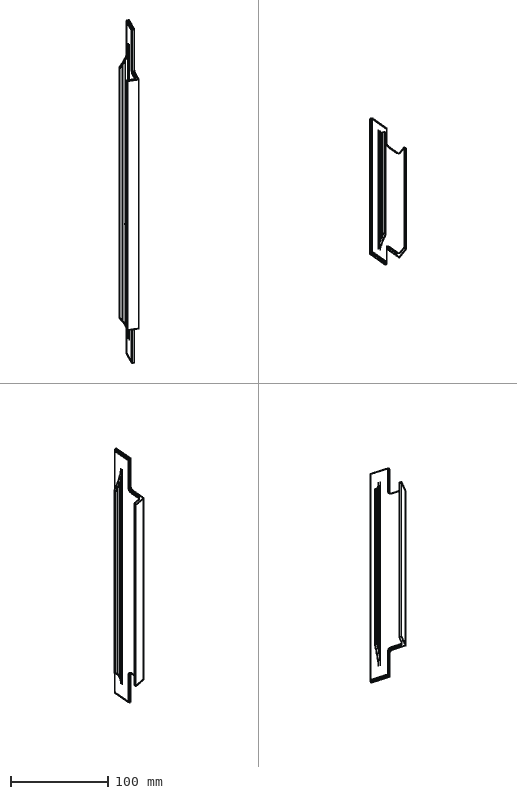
import cadquery as cq
import math

width = 38.0
depth = 13.0
length = 395.0

plate_thickness = 3.0
strip_width = 20.5
notch_length = 50.0
notch_radius = 4.0
edge_chamfer = 0.8

lip_thickness = 2.5
lip_depth = 12.0
lip_fillet = 1.5

rib_left = 8.6
rib_thickness = 3.0
ramp_radius = 40.0
ramp_end = 49.4
barb_count = 3
barb_pitch = 2.75
root_depth = 1.3
barb_step = 0.4
barb_slope = 0.17
barb_height = barb_slope * (barb_pitch - barb_step)

half_length = length / 2
back = depth
front = back - plate_thickness


def make_notch(end):
    """Cutter for the notch at one end: end is 1 for +Z, -1 for -Z."""
    notch_width = width - strip_width
    block = (
        cq.Workplane("XY")
        .box(notch_width, depth, notch_length, centered=False)
        .edges("|Y and <X and <Z")
        .fillet(notch_radius)
        .translate((strip_width, 0, half_length - notch_length))
    )
    return block if end > 0 else block.mirror("XY")


def make_plate():
    """Notched plate with its front edges broken."""
    plate = (
        cq.Workplane("XY")
        .box(width, plate_thickness, length, centered=False)
        .translate((0, front, -half_length))
    )
    for end in (1, -1):
        plate = plate.cut(make_notch(end))
    return plate.faces("<Y").chamfer(edge_chamfer)


def make_lip():
    """Lip with the round inside corner that joins it to the plate."""
    inner = width - lip_thickness
    lip_end = back - lip_depth
    lip_half_length = half_length - notch_length
    return (
        cq.Workplane("XY")
        .moveTo(width, back)
        .lineTo(width, lip_end)
        .lineTo(inner, lip_end)
        .lineTo(inner, front - lip_fillet)
        .radiusArc((inner - lip_fillet, front), -lip_fillet)
        .lineTo(inner - lip_fillet, back)
        .close()
        .extrude(lip_half_length, both=True)
    )


def make_rib_section():
    """Rib cross-section over the whole length, barbed on both sides and narrowing to its tip."""
    centre = rib_left + rib_thickness / 2
    half_thickness = rib_thickness / 2
    half_root = half_thickness - barb_height

    profile = [(half_root, back)]
    for i in range(barb_count):
        root_y = front - root_depth - i * barb_pitch
        barb_y = root_y - barb_step
        profile.append((half_root, root_y))
        profile.append((half_thickness, barb_y))
    profile.append((half_thickness - barb_slope * barb_y, 0))

    left_side = [(centre - half, y) for half, y in profile]
    right_side = [(centre + half, y) for half, y in reversed(profile)]
    return (
        cq.Workplane("XY")
        .polyline(left_side + right_side)
        .close()
        .extrude(half_length, both=True)
    )


def make_rib_side():
    """Side outline of the rib, with a hollow ramp at each end rising to full height."""
    top_z = half_length - ramp_end
    foot_z = top_z + math.sqrt(ramp_radius**2 - (ramp_radius - front) ** 2)
    return (
        cq.Workplane("YZ")
        .moveTo(0, -top_z)
        .lineTo(0, top_z)
        .radiusArc((front, foot_z), -ramp_radius)
        .lineTo(back, foot_z)
        .lineTo(back, -foot_z)
        .lineTo(front, -foot_z)
        .radiusArc((0, -top_z), -ramp_radius)
        .close()
        .extrude(width)
    )


rib = make_rib_section().intersect(make_rib_side())
result = make_plate().union(make_lip()).union(rib)